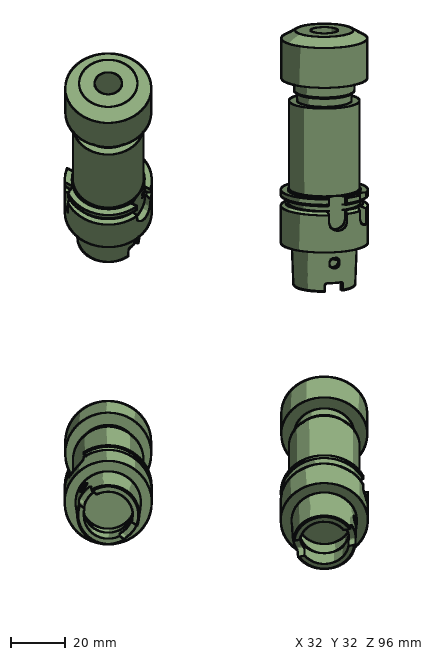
import math

import cadquery as cq


SHANK_LENGTH = 16.0
SHANK_TOP_RADIUS = 12.0
SHANK_END_RADIUS = 11.4
SHANK_CHAMFER = 0.4

SHANK_MOUTH_RADIUS = 9.0
SHANK_RECESS_RADIUS = 10.0
RECESS_CONE_TOP_Z = -6.6
RECESS_CONE_ANGLE = math.radians(30)

FLANGE_RADIUS = 16.0
FLANGE_HEIGHT = 20.0
GROOVE_RADIUS = 13.25
GROOVE_BOTTOM_Z = 15.0
GROOVE_TOP_Z = 17.0
GROOVE_BOTTOM_BEVEL = 1.0
GROOVE_TOP_BEVEL = 1.0
GROOVE_BEVEL_ANGLE = math.radians(30)

BODY_RADIUS = 13.0
BODY_FOOT_RADIUS = 13.4
BODY_FOOT_HEIGHT = 0.5
BODY_TOP_Z = 53.5
LOWER_NECK_RADIUS = 10.0
UPPER_NECK_RADIUS = 11.1
NECK_STEP_Z = 56.5
NECK_BEVEL_HEIGHT = 0.8

TOP_Z = 80.0
NUT_RADIUS = 15.8
NUT_HEIGHT = 18.0
NUT_CONE_HEIGHT = 3.0
NUT_FACE_RADIUS = 10.7
BORE_RADIUS = 5.0
BORE_DEPTH = 27.0

SLOT_WIDTH = 7.0
WIDE_SLOT_WIDTH = 9.0
SLOT_BOTTOM_Z = 8.0
SIDE_SLOT_FLOOR = 13.0
CORNER_SLOT_FLOOR = 9.4

NOTCH_WIDTH = 7.0
NOTCH_CORNER_RADIUS = 0.9
SHALLOW_NOTCH_DEPTH = 3.3
DEEP_NOTCH_DEPTH = 5.2
CROSS_HOLE_RADIUS = 2.0
CROSS_HOLE_Z = -5.1


def revolve_profile(profile):
    """Turn a closed (radius, z) outline a full circle about Z."""
    return cq.Workplane("XZ").polyline(profile).close().revolve(360, (0, 0, 0), (0, 1, 0))


def make_turned_body():
    """Revolve the outer profile of the whole chuck about Z."""
    groove_bottom_edge = FLANGE_RADIUS - GROOVE_BOTTOM_BEVEL / math.tan(GROOVE_BEVEL_ANGLE)
    groove_top_edge = FLANGE_RADIUS - GROOVE_TOP_BEVEL / math.tan(GROOVE_BEVEL_ANGLE)
    nut_bottom_z = TOP_Z - NUT_HEIGHT
    profile = [
        (0, -SHANK_LENGTH),
        (SHANK_END_RADIUS - SHANK_CHAMFER, -SHANK_LENGTH),
        (SHANK_END_RADIUS, -SHANK_LENGTH + SHANK_CHAMFER),
        (SHANK_TOP_RADIUS, 0),
        (FLANGE_RADIUS, 0),
        (FLANGE_RADIUS, GROOVE_BOTTOM_Z - GROOVE_BOTTOM_BEVEL),
        (groove_bottom_edge, GROOVE_BOTTOM_Z),
        (GROOVE_RADIUS, GROOVE_BOTTOM_Z),
        (GROOVE_RADIUS, GROOVE_TOP_Z),
        (groove_top_edge, GROOVE_TOP_Z),
        (FLANGE_RADIUS, GROOVE_TOP_Z + GROOVE_TOP_BEVEL),
        (FLANGE_RADIUS, FLANGE_HEIGHT),
        (BODY_FOOT_RADIUS, FLANGE_HEIGHT),
        (BODY_RADIUS, FLANGE_HEIGHT + BODY_FOOT_HEIGHT),
        (BODY_RADIUS, BODY_TOP_Z),
        (LOWER_NECK_RADIUS, BODY_TOP_Z),
        (LOWER_NECK_RADIUS, NECK_STEP_Z),
        (UPPER_NECK_RADIUS, NECK_STEP_Z + NECK_BEVEL_HEIGHT),
        (UPPER_NECK_RADIUS, nut_bottom_z),
        (NUT_RADIUS, nut_bottom_z),
        (NUT_RADIUS, TOP_Z - NUT_CONE_HEIGHT),
        (NUT_FACE_RADIUS, TOP_Z),
        (0, TOP_Z),
    ]
    return revolve_profile(profile)


def make_collet_bore():
    """Blind bore from the nut face."""
    return cq.Workplane("XY").workplane(offset=TOP_Z - BORE_DEPTH).circle(BORE_RADIUS).extrude(BORE_DEPTH)


def make_shank_bore():
    """Blind stepped bore that hollows the shank up to the flange contact face."""
    cone_height = (SHANK_RECESS_RADIUS - SHANK_MOUTH_RADIUS) / math.tan(RECESS_CONE_ANGLE)
    profile = [
        (0, -SHANK_LENGTH),
        (SHANK_MOUTH_RADIUS, -SHANK_LENGTH),
        (SHANK_MOUTH_RADIUS, RECESS_CONE_TOP_Z - cone_height),
        (SHANK_RECESS_RADIUS, RECESS_CONE_TOP_Z),
        (SHANK_RECESS_RADIUS, 0),
        (0, 0),
    ]
    return revolve_profile(profile)


def make_rim_slot(width, center_y, floor, direction):
    """Round-ended slot open at the flange top, cut from the rim in to X = direction * floor."""
    half_width = width / 2
    arc_center_z = SLOT_BOTTOM_Z + half_width
    top_z = FLANGE_HEIGHT + BODY_FOOT_HEIGHT
    return (
        cq.Workplane("YZ")
        .workplane(offset=direction * floor)
        .moveTo(center_y - half_width, top_z)
        .lineTo(center_y - half_width, arc_center_z)
        .threePointArc((center_y, SLOT_BOTTOM_Z), (center_y + half_width, arc_center_z))
        .lineTo(center_y + half_width, top_z)
        .close()
        .extrude(direction * FLANGE_RADIUS)
    )


def make_drive_notch(depth, direction):
    """Notch in the shank end, from the axis out through one side, with rounded inner corners."""
    return (
        cq.Workplane("XY")
        .workplane(offset=-SHANK_LENGTH)
        .center(direction * SHANK_TOP_RADIUS / 2, 0)
        .rect(SHANK_TOP_RADIUS, NOTCH_WIDTH)
        .extrude(depth)
        .edges("|X and >Z")
        .fillet(NOTCH_CORNER_RADIUS)
    )


def make_cross_hole():
    """Round hole through the shank along X."""
    return (
        cq.Workplane("YZ")
        .center(0, CROSS_HOLE_Z)
        .circle(CROSS_HOLE_RADIUS)
        .extrude(SHANK_TOP_RADIUS, both=True)
    )


corner_slot_center_y = -(CORNER_SLOT_FLOOR + SLOT_WIDTH / 2)

result = make_turned_body().cut(make_collet_bore()).cut(make_shank_bore())
result = result.cut(make_rim_slot(SLOT_WIDTH, 0, SIDE_SLOT_FLOOR, -1))
result = result.cut(make_rim_slot(WIDE_SLOT_WIDTH, 0, SIDE_SLOT_FLOOR, 1))
result = result.cut(make_rim_slot(SLOT_WIDTH, corner_slot_center_y, CORNER_SLOT_FLOOR, -1))
result = result.cut(make_drive_notch(SHALLOW_NOTCH_DEPTH, -1))
result = result.cut(make_drive_notch(DEEP_NOTCH_DEPTH, 1))
result = result.cut(make_cross_hole())